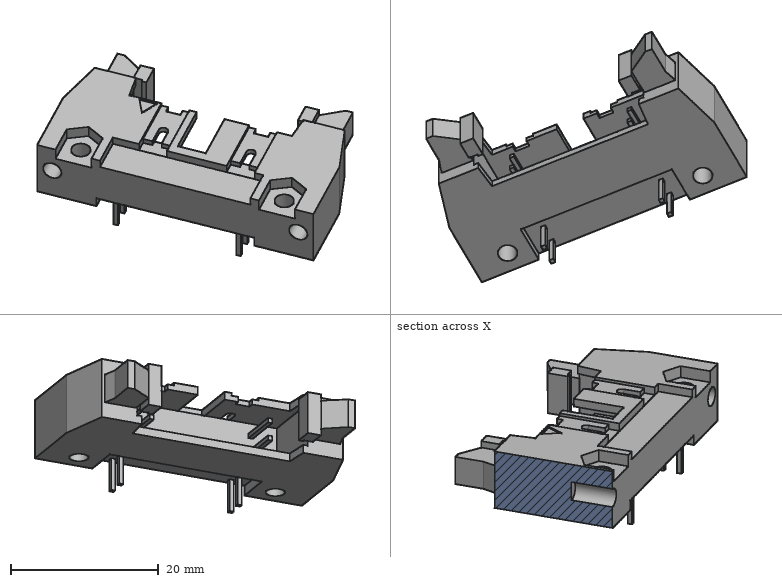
import cadquery as cq


length = 39.9
height = 8.5
side_depth = 10.05
ear_depth = 17.28
ear_outer_x = 18.05
ear_inner_x = 12.1
mouth_y = 13.73
mouth_half_width = 11.75

wall = 1.15
cavity_y = 7.35
cavity_half_width = 12.75

shelf_half_width = 10.85
shelf_depth = 5.0
relief_half_width = 11.37
relief_height = 1.45
relief_depth = 5.6

notch_x = 0.0
notch_width = 4.03
notch_back_y = 6.42

groove_centers = (-5.05, 7.6)
groove_width = 4.03
groove_depth = 0.4
groove_step_y = 6.55
groove_step_depth = 1.1
slot_width = 1.3
slot_end_y = 9.65
bite_width = 2.07
bite_depth = 0.88

mount_x = 14.7
mount_y = 2.85
hole_diameter = 2.65
pocket_width = 5.2
pocket_shoulder_y = 4.35
pocket_apex_y = 5.83
pocket_depth = 1.68
blind_x = 17.75
blind_z = 4.5
blind_depth = 6.0

mark_x = -8.9
mark_width = 2.55
mark_base_y = 13.5
mark_apex_y = 11.0
mark_depth = 0.15

latch_height = 4.05
latch_center_z = height / 2
latch_outer_x = 17.0
latch_root_x = 17.6
latch_inner_x = 12.9
latch_knee_y = 19.2
latch_tip_y = 23.3
latch_tip_x = 15.95
hook_height = 6.0
hook_reach_x = 10.95
hook_top_y = 21.2
hook_bottom_y = 18.5
hook_lip_y = 18.25
hook_lip_width = 0.68

pitch = 2.55
pin_size = 0.65
pin_x = 8.85
pin_row_y = 1.0
pin_bottom_z = -3.2
pin_tip_y = 13.55


def box(x_range, y_range, z_range):
    """Axis-aligned box from its limits along each axis."""
    limits = (x_range, y_range, z_range)
    sizes = [high - low for low, high in limits]
    corner = tuple(low for low, high in limits)
    return cq.Workplane("XY").box(*sizes, centered=False).translate(corner)


def centered_range(center, width):
    return (center - width / 2, center + width / 2)


def plate(points, z_range):
    """Polygon in XY, extruded between two heights."""
    bottom, top = z_range
    return cq.Workplane("XY").workplane(offset=bottom).polyline(points).close().extrude(top - bottom)


def both_sides(solid):
    """The solid together with its mirror image across X = 0."""
    return solid.union(solid.mirror("YZ"))


def top_range(depth):
    """Heights from a given depth below the top face up to the top face."""
    return (height - depth, height)


def make_housing():
    right_outline = [
        (length / 2, 0),
        (length / 2, side_depth),
        (ear_outer_x, ear_depth),
        (ear_inner_x, ear_depth),
        (mouth_half_width, mouth_y),
    ]
    left_outline = [(-x, y) for x, y in reversed(right_outline)]
    body = plate(right_outline + left_outline, (0, height))

    cavity_x = (-cavity_half_width, cavity_half_width)
    cavity = box(cavity_x, (cavity_y, ear_depth), (wall, height - wall))
    shelf = box((-shelf_half_width, shelf_half_width), (0, shelf_depth), top_range(wall))
    relief = box((-relief_half_width, relief_half_width), (0, relief_depth), (0, relief_height))
    notch = box(centered_range(notch_x, notch_width), (notch_back_y, mouth_y), top_range(wall))
    return body.cut(cavity).cut(shelf).cut(relief).cut(notch)


def make_roof_groove(center_x):
    """Cutter for one roof groove with its front step, slot and bite."""
    groove_x = centered_range(center_x, groove_width)
    groove = box(groove_x, (shelf_depth, mouth_y), top_range(groove_depth))
    step = box(groove_x, (shelf_depth, groove_step_y), top_range(groove_step_depth))

    slot_arc_y = slot_end_y - slot_width / 2
    slot_x = centered_range(center_x, slot_width)
    slot = box(slot_x, (groove_step_y, slot_arc_y), top_range(groove_step_depth))
    slot_through = box(slot_x, (cavity_y, slot_arc_y), top_range(wall))
    slot_end = (
        cq.Workplane("XY")
        .workplane(offset=height - wall)
        .center(center_x, slot_arc_y)
        .circle(slot_width / 2)
        .extrude(wall)
    )

    bite = box(centered_range(center_x, bite_width), (mouth_y - bite_depth, mouth_y), top_range(wall))
    return groove.union(step).union(slot).union(slot_through).union(slot_end).union(bite)


def make_mounting_holes():
    """Cutter for the nut pockets, the board holes and the blind front holes."""
    pocket_outline = [
        (mount_x - pocket_width / 2, 0),
        (mount_x + pocket_width / 2, 0),
        (mount_x + pocket_width / 2, pocket_shoulder_y),
        (mount_x, pocket_apex_y),
        (mount_x - pocket_width / 2, pocket_shoulder_y),
    ]
    pocket = plate(pocket_outline, top_range(pocket_depth))
    board_hole = cq.Workplane("XY").center(mount_x, mount_y).circle(hole_diameter / 2).extrude(height)
    blind_hole = cq.Workplane("XZ").center(blind_x, blind_z).circle(hole_diameter / 2).extrude(-blind_depth)
    return both_sides(pocket.union(board_hole).union(blind_hole))


def make_mark():
    corners = [
        (mark_x - mark_width / 2, mark_base_y),
        (mark_x + mark_width / 2, mark_base_y),
        (mark_x, mark_apex_y),
    ]
    return plate(corners, top_range(mark_depth))


def make_latches():
    arm_outline = [
        (latch_root_x, ear_depth),
        (latch_outer_x, latch_knee_y),
        (latch_outer_x, latch_tip_y),
        (latch_tip_x, latch_tip_y),
        (latch_inner_x, hook_top_y),
        (latch_inner_x, ear_depth),
    ]
    hook_outline = [
        (latch_inner_x, hook_top_y),
        (hook_reach_x, hook_top_y),
        (hook_reach_x, hook_lip_y),
        (hook_reach_x + hook_lip_width, hook_lip_y),
        (hook_reach_x + hook_lip_width, hook_bottom_y),
        (latch_inner_x, hook_bottom_y),
    ]
    arm = plate(arm_outline, centered_range(latch_center_z, latch_height))
    hook = plate(hook_outline, centered_range(latch_center_z, hook_height))
    return both_sides(arm.union(hook))


def make_pins():
    """Contacts at both ends of two rows; the row nearest the front rises highest."""
    pins = cq.Workplane("XY")
    tail_rows = (pin_row_y, pin_row_y + pitch)
    contact_heights = (height / 2 + pitch / 2, height / 2 - pitch / 2)
    pin_width = centered_range(pin_x, pin_size)
    for tail_y, contact_z in zip(tail_rows, contact_heights):
        tail = box(pin_width, centered_range(tail_y, pin_size), (pin_bottom_z, contact_z))
        contact = box(pin_width, (tail_y, pin_tip_y), centered_range(contact_z, pin_size))
        pins = pins.union(tail).union(contact)
    return both_sides(pins)


housing = make_housing().cut(make_mounting_holes()).cut(make_mark())
for groove_center in groove_centers:
    housing = housing.cut(make_roof_groove(groove_center))

result = housing.union(make_latches()).union(make_pins())